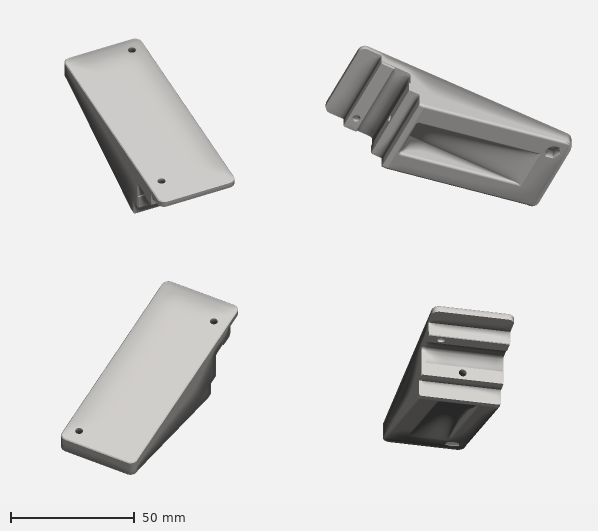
import cadquery as cq
import math

length = 96.6
width = 34.0
height = 27.2
corner_radius = 3.0
top_chamfer = 0.4

nose_height = 7.2
slope_start_x = 1.3
slope_end_x = 67.8
plate_thickness = 2.9
shelf_end_x = 87.4
wall_x = 74.3
heel_x = 70.1
heel_step_z = -20.1
inner_radius = 1.45
edge_radius = 1.1

pocket_roof_z = -10.1
pocket_end_x = 66.7
pocket_width = 15.65
pocket_corner_radius = 0.8

hole_diameter = 3.2
seat_diameter = 5.8
nut_width = 5.8
seat_wall = 3.0
hole_y = 11.0
nose_hole_x = 6.6
shelf_hole_x = 84.5
cross_hole_z = -17.1

pad_size = 5.8
pad_inset = 0.2
pad_length = width - 2 * pad_inset
shelf_pad_height = 1.5
shelf_pad_chamfer = 0.3
wall_pad_height = 0.6

slope_angle = math.atan2(height - nose_height, slope_end_x - slope_start_x)
slope_normal = (-math.sin(slope_angle), 0, -math.cos(slope_angle))


def on_slope(edge):
    """Whether the middle of an edge lies on the sloping underside."""
    offset = edge.Center() - cq.Vector(slope_start_x, 0, -nose_height)
    return abs(offset.dot(cq.Vector(*slope_normal))) < 0.01


def make_body():
    profile = [
        (0, 0),
        (length, 0),
        (length, -plate_thickness),
        (shelf_end_x, -plate_thickness),
        (shelf_end_x, -nose_height),
        (wall_x, -nose_height),
        (wall_x, heel_step_z),
        (heel_x, heel_step_z),
        (heel_x, -height),
        (slope_end_x, -height),
        (slope_start_x, -nose_height),
        (0, -nose_height),
    ]
    body = cq.Workplane("XZ").polyline(profile).close().extrude(width / 2, both=True)
    inner_edge = cq.selectors.NearestToPointSelector((wall_x, 0, -nose_height))
    body = body.edges("|Y").edges(inner_edge).fillet(inner_radius)

    long_edges = [
        edge for edge in body.edges("<Y or >Y").vals()
        if on_slope(edge) or abs(edge.Center().z + height) < 0.01
    ]
    body = body.newObject(long_edges).fillet(edge_radius)

    outline = (
        cq.Workplane("XY")
        .box(length, width, height, centered=(False, True, False))
        .translate((0, 0, -height))
        .edges("|Z").fillet(corner_radius)
        .faces(">Z").chamfer(top_chamfer)
    )
    return body.intersect(outline)


def cut_pocket(body):
    pocket = (
        cq.Workplane("XY", origin=(0, 0, pocket_roof_z))
        .rect(2 * pocket_end_x, pocket_width)
        .extrude(-height)
        .edges("|Z and >X").fillet(pocket_corner_radius)
    )
    body = body.cut(pocket)
    rim = [
        edge for edge in body.edges().vals()
        if on_slope(edge)
        and abs(edge.Center().y) < pocket_width / 2 + 0.01
        and slope_start_x + edge_radius < edge.Center().x < slope_end_x - 0.1
    ]
    return body.newObject(rim).fillet(edge_radius)


def cylinder(start, direction, diameter, depth):
    return cq.Workplane(
        cq.Solid.makeCylinder(diameter / 2, depth, cq.Vector(*start), cq.Vector(*direction))
    )


def add_pads(body):
    shelf_pad = (
        cq.Workplane("XY", origin=(shelf_end_x - pad_size / 2, 0, -nose_height))
        .rect(pad_size, pad_length)
        .extrude(-shelf_pad_height)
        .faces("<Z").edges("|Y").chamfer(shelf_pad_chamfer)
    )
    wall_pad = (
        cq.Workplane("YZ", origin=(wall_x, 0, heel_step_z + pad_size / 2))
        .rect(pad_length, pad_size)
        .extrude(wall_pad_height)
    )
    return body.union(shelf_pad).union(wall_pad)


def cut_holes(body):
    for x, y in [(nose_hole_x, hole_y), (shelf_hole_x, -hole_y)]:
        body = body.cut(cylinder((x, y, 0), (0, 0, -1), hole_diameter, height))
    cross_start = (pocket_end_x, 0, cross_hole_z)
    body = body.cut(cylinder(cross_start, (1, 0, 0), hole_diameter, length))

    cross_seat_depth = wall_x - seat_wall - pocket_end_x
    body = body.cut(cylinder(cross_start, (1, 0, 0), seat_diameter, cross_seat_depth))
    nut_seat = (
        cq.Workplane("XY", origin=(nose_hole_x, hole_y, -seat_wall))
        .polygon(6, nut_width / math.cos(math.pi / 6))
        .extrude(-height)
    )
    return body.cut(nut_seat)


result = cut_holes(add_pads(cut_pocket(make_body())))